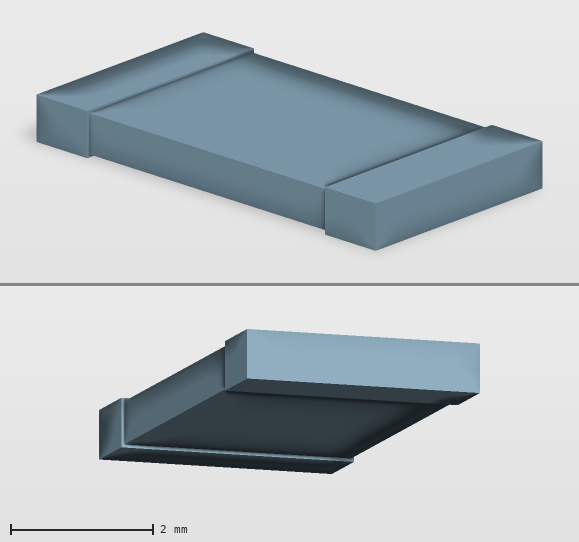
import cadquery as cq

length = 6.5
width = 3.45
height = 0.71

cap_length = 0.975
cap_step = 0.045

body_length = length - 2 * cap_length
body_width = width - 2 * cap_step
body_height = height - 2 * cap_step
cap_offset = (length - cap_length) / 2


def make_body():
    """Plain block that fills the space between the two end caps."""
    return cq.Workplane("XY").box(body_length, body_width, body_height)


def make_end_cap(side):
    """Solid terminal block; side is -1 for the -X end and +1 for the +X end."""
    return cq.Workplane("XY").box(cap_length, width, height).translate((side * cap_offset, 0, 0))


body = make_body()
end_caps = [make_end_cap(side) for side in (-1, 1)]

result = cq.Compound.makeCompound([body.val(), *[cap.val() for cap in end_caps]])